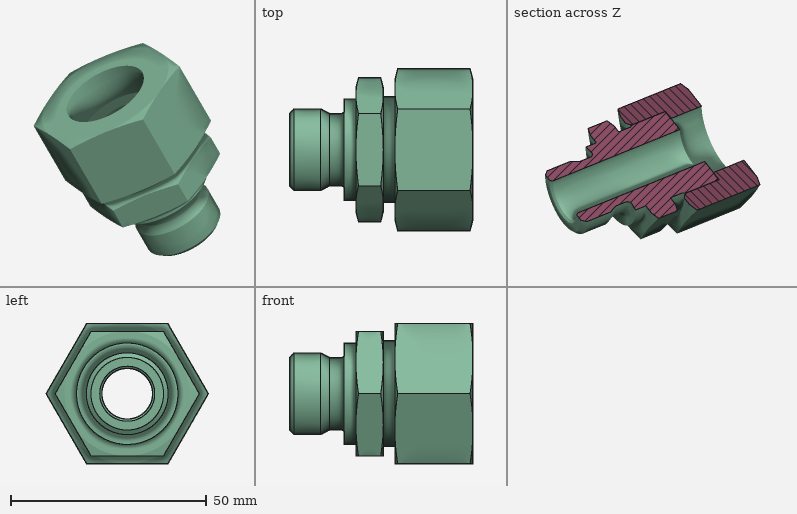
import cadquery as cq
import math


TOTAL_LENGTH = 47.0
STUD_CHAMFER = 1.18
STUD_END = 8.0
UNDERCUT_START = 10.3
UNDERCUT_END = 13.05
COLLAR_START = 14.0
BODY_HEX_START = 17.0
BODY_HEX_END = 24.0
NUT_START = 27.0
NECK_END = 27.35
BODY_END = 38.0

BORE_DIAMETER = 12.92
BORE_MOUTH_DIAMETER = 14.1
STUD_DIAMETER = 20.95
UNDERCUT_DIAMETER = 18.5
SEALING_EDGE_DIAMETER = 24.8
COLLAR_DIAMETER = 26.0
NECK_DIAMETER = 27.15
THREAD_DIAMETER = 28.2
NUT_MOUTH_DIAMETER = 30.55
TUBE_DIAMETER = 22.0

BODY_HEX_FLATS = 32.0
NUT_HEX_FLATS = 36.0
HEX_CHAMFER_ANGLE = 15.0

RECESS_ANGLE = 8.0

THREAD_LEAD_ANGLE = 30.0
NUT_MOUTH_ANGLE = 55.0


def revolve_about_x(profile):
    """Revolve a closed profile drawn as (x, radius) about the X axis."""
    return profile.close().revolve(360, (0, 0, 0), (1, 0, 0))


def cylinder(start, end, diameter):
    """Round bar along X."""
    return cq.Workplane("YZ", origin=(start, 0, 0)).circle(diameter / 2).extrude(end - start)


def chamfered_hexagon(start, end, flats):
    """Hexagonal prism along X whose corners are turned down to the flats circle at both ends."""
    corner_diameter = flats / math.cos(math.pi / 6)
    prism = cq.Workplane("YZ", origin=(start, 0, 0)).polygon(6, corner_diameter).extrude(end - start)
    flat_radius = flats / 2
    corner_radius = corner_diameter / 2
    drop = (corner_radius - flat_radius) * math.tan(math.radians(HEX_CHAMFER_ANGLE))
    turned_envelope = revolve_about_x(
        cq.Workplane("XY")
        .moveTo(start, 0)
        .lineTo(start, flat_radius)
        .lineTo(start + drop, corner_radius)
        .lineTo(end - drop, corner_radius)
        .lineTo(end, flat_radius)
        .lineTo(end, 0)
    )
    return prism.intersect(turned_envelope)


def stud_and_collar():
    """Stud, undercut and collar whose face is hollowed to a sealing edge."""
    stud_radius = STUD_DIAMETER / 2
    undercut_radius = UNDERCUT_DIAMETER / 2
    edge_radius = SEALING_EDGE_DIAMETER / 2
    collar_radius = COLLAR_DIAMETER / 2
    recess_slope = math.tan(math.radians(RECESS_ANGLE))
    recess_bottom = COLLAR_START + (edge_radius - stud_radius) * recess_slope

    return revolve_about_x(
        cq.Workplane("XY")
        .moveTo(0, 0)
        .lineTo(0, stud_radius - STUD_CHAMFER)
        .lineTo(STUD_CHAMFER, stud_radius)
        .lineTo(STUD_END, stud_radius)
        .lineTo(UNDERCUT_START, undercut_radius)
        .lineTo(UNDERCUT_END, undercut_radius)
        .tangentArcPoint((recess_bottom, stud_radius), relative=False)
        .lineTo(COLLAR_START, edge_radius)
        .lineTo(COLLAR_START, collar_radius)
        .lineTo(BODY_HEX_START, collar_radius)
        .lineTo(BODY_HEX_START, 0)
    )


def nut_side_thread():
    """Neck behind the hexagon, widening to the thread that the nut is screwed on."""
    neck_radius = NECK_DIAMETER / 2
    thread_radius = THREAD_DIAMETER / 2
    lead_length = (thread_radius - neck_radius) / math.tan(math.radians(THREAD_LEAD_ANGLE))
    return revolve_about_x(
        cq.Workplane("XY")
        .moveTo(BODY_HEX_END, 0)
        .lineTo(BODY_HEX_END, neck_radius)
        .lineTo(NECK_END, neck_radius)
        .lineTo(NECK_END + lead_length, thread_radius)
        .lineTo(BODY_END, thread_radius)
        .lineTo(BODY_END, 0)
    )


def make_body():
    """Hollow fitting body: stud, collar, hexagon and nut-side thread on one bore."""
    bore_mouth = (BORE_MOUTH_DIAMETER - BORE_DIAMETER) / 2
    return (
        stud_and_collar()
        .union(chamfered_hexagon(BODY_HEX_START, BODY_HEX_END, BODY_HEX_FLATS))
        .union(nut_side_thread())
        .cut(cylinder(0, BODY_END, BORE_DIAMETER))
        .faces("<X")
        .edges(cq.selectors.RadiusNthSelector(0))
        .chamfer(bore_mouth)
    )


def nut_mouth():
    """Cone that countersinks the thread at the open end of the nut."""
    mouth_radius = NUT_MOUTH_DIAMETER / 2
    cone_length = mouth_radius / math.tan(math.radians(NUT_MOUTH_ANGLE))
    return revolve_about_x(
        cq.Workplane("XY")
        .moveTo(NUT_START, 0)
        .lineTo(NUT_START, mouth_radius)
        .lineTo(NUT_START + cone_length, 0)
    )


def make_nut():
    """Union nut: threaded over the body, with a smaller tube hole through its far end."""
    return (
        chamfered_hexagon(NUT_START, TOTAL_LENGTH, NUT_HEX_FLATS)
        .cut(cylinder(NUT_START, BODY_END, THREAD_DIAMETER))
        .cut(nut_mouth())
        .cut(cylinder(BODY_END, TOTAL_LENGTH, TUBE_DIAMETER))
    )


body = make_body()
nut = make_nut()

result = cq.Compound.makeCompound([body.val(), nut.val()])